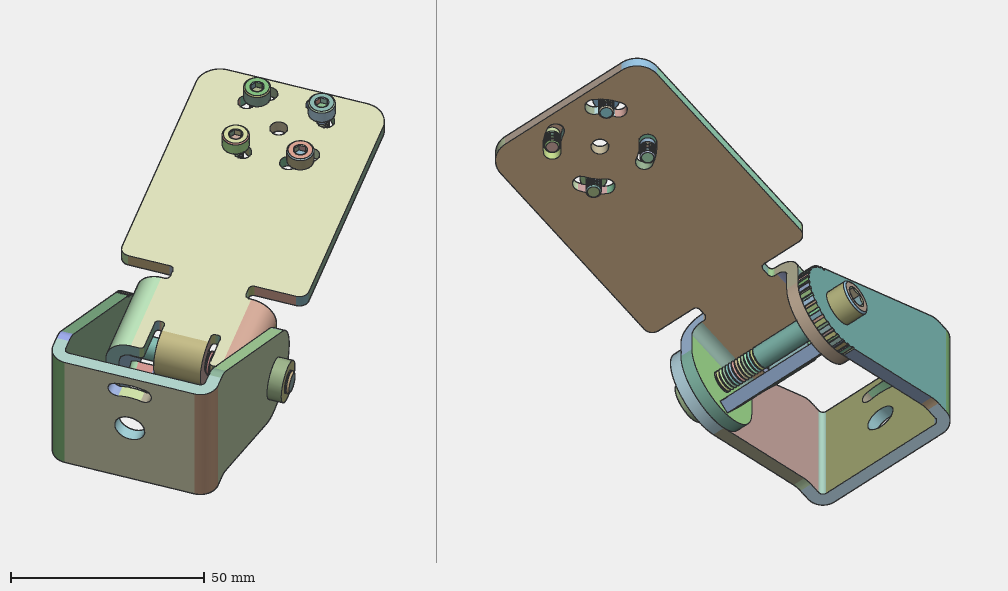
import cadquery as cq
import math


BRACKET_WIDTH = 45.0
BRACKET_THICKNESS = 3.5
BRACKET_BEND_RADIUS = 4.8
BACK_FACE_Y = -50.8
BACK_TOP_Z = 44.5
BACK_HEIGHT = 38.1
EAR_RADIUS = 12.7
EAR_CORNER_Y = -41.3
EAR_CORNER_RADIUS = 6.5
BACK_HOLE_DIAMETER = 8.2
BACK_SLOT_RADIUS = 14.0
SLOT_WIDTH = 4.6
SLOT_HALF_ANGLE = 15
MARK_STEP = 10
MARK_FIRST = -120
MARK_COUNT = 19
MARK_WIDTH = 0.8
MARK_DEPTH = 0.4

PLATE_THICKNESS = 3.6
PLATE_TOP_Z = 13.6
PLATE_WIDTH = 51.0
PLATE_FAR_Y = 87.7
PLATE_NEAR_Y = 17.3
PLATE_FAR_RADIUS = 6.5
PLATE_NEAR_RADIUS = 2.6
NECK_WIDTH = 20.6
NECK_CORNER_RADIUS = 1.2
PLATE_BEND_RADIUS = 6.8
CHANNEL_HALF_LENGTH = 12.7
HOLE_CIRCLE_Y = 72.2
HOLE_CIRCLE_RADIUS = 12.5
CENTRE_HOLE_DIAMETER = 4.6

TONGUE_WIDTH = 12.7
TONGUE_BEND_START_Y = -5.1
TONGUE_BEND_ANGLE = 120
TONGUE_LENGTH = 17.3
TONGUE_SHOULDER = 8.0
TONGUE_CORNER_RADIUS = 2.4
RELIEF_WIDTH = 17.9
RELIEF_END_Y = -2.1
RELIEF_RADIUS = 1.0

BOLT_DIAMETER = 6.2
BOLT_LENGTH = 50.0
BOLT_THREAD_LENGTH = 24.0
BOLT_PITCH = 1.0
BOLT_HEAD_DIAMETER = 10.0
BOLT_HEAD_HEIGHT = 6.0
BOLT_SOCKET = 5.0
NUT_DIAMETER = 11.4
NUT_LENGTH = 3.9

SCREW_DIAMETER = 4.0
SCREW_LENGTH = 6.2
SCREW_THREAD_LENGTH = 4.2
SCREW_PITCH = 0.7
SCREW_HEAD_DIAMETER = 7.0
SCREW_HEAD_HEIGHT = 3.9
SCREW_SOCKET = 3.0

THREAD_DEPTH_RATIO = 0.6
GROOVE_WIDTH_RATIO = 0.9
HEAD_CHAMFER_RATIO = 0.05
LEAD_IN_ANGLE = 30
LEAD_IN_RATIO = 1.05
SOCKET_DEPTH_RATIO = 0.5

HEXAGON_SIDES = 6
EDGE_MARGIN = 0.1

EAR_OUTER_X = BRACKET_WIDTH / 2
EAR_INNER_X = EAR_OUTER_X - BRACKET_THICKNESS
FLANGE_INNER_X = EAR_INNER_X - PLATE_THICKNESS
BACK_BOTTOM_Z = BACK_TOP_Z - BACK_HEIGHT
BACK_HOLE_Z = BACK_TOP_Z - BACK_HEIGHT / 2
PLATE_BOTTOM_Z = PLATE_TOP_Z - PLATE_THICKNESS
SCREW_ANGLES = [45, 135, 225, 315]


def polar(radius, degrees):
    angle = math.radians(degrees)
    return (radius * math.cos(angle), radius * math.sin(angle))


def arc_slot(workplane, radius, middle, depth):
    """Solid of an arc slot about the workplane origin, centred on the angle `middle`."""
    start = middle - SLOT_HALF_ANGLE
    end = middle + SLOT_HALF_ANGLE
    inner = radius - SLOT_WIDTH / 2
    outer = radius + SLOT_WIDTH / 2
    tip_radius = math.hypot(radius, SLOT_WIDTH / 2)
    tip_angle = math.degrees(math.atan(SLOT_WIDTH / 2 / radius))
    return (
        workplane.moveTo(*polar(inner, start))
        .threePointArc(polar(inner, middle), polar(inner, end))
        .threePointArc(polar(tip_radius, end + tip_angle), polar(outer, end))
        .threePointArc(polar(outer, middle), polar(outer, start))
        .threePointArc(polar(tip_radius, start - tip_angle), polar(inner, start))
        .close()
        .extrude(depth)
    )


def pivot_hole():
    """Cylinder the size of the bolt shank, through the whole width."""
    return cq.Workplane("YZ").circle(BOLT_DIAMETER / 2).extrude(BRACKET_WIDTH / 2, both=True)


def tangent_point(corner_y, corner_z, side):
    """Point where a line from the corner touches the ear circle, on its upper (+1) or lower (-1) side."""
    distance = math.hypot(corner_y, corner_z)
    direction = math.degrees(math.atan2(corner_z, corner_y))
    return polar(EAR_RADIUS, direction - side * math.degrees(math.acos(EAR_RADIUS / distance)))


def upright_corners(body, width, near_y, far_y):
    """Vertical plate edges on or inside a rectangle centred on X = 0."""
    box = cq.selectors.BoxSelector(
        (-width / 2 - EDGE_MARGIN, near_y - EDGE_MARGIN, PLATE_BOTTOM_Z),
        (width / 2 + EDGE_MARGIN, far_y + EDGE_MARGIN, PLATE_TOP_Z),
    )
    return body.edges("|Z").edges(box)



def ear_profile():
    """Side outline of the bracket, extruded through its whole width."""
    top_tangent = tangent_point(EAR_CORNER_Y, BACK_TOP_Z, 1)
    bottom_tangent = tangent_point(EAR_CORNER_Y, BACK_BOTTOM_Z, -1)
    profile = (
        cq.Workplane("YZ")
        .moveTo(BACK_FACE_Y, BACK_BOTTOM_Z)
        .lineTo(BACK_FACE_Y, BACK_TOP_Z)
        .lineTo(EAR_CORNER_Y, BACK_TOP_Z)
        .lineTo(*top_tangent)
        .threePointArc((EAR_RADIUS, 0), bottom_tangent)
        .lineTo(EAR_CORNER_Y, BACK_BOTTOM_Z)
        .close()
        .extrude(BRACKET_WIDTH / 2, both=True)
    )
    corners = cq.selectors.BoxSelector(
        (-BRACKET_WIDTH, EAR_CORNER_Y - EDGE_MARGIN, BACK_BOTTOM_Z - EDGE_MARGIN),
        (BRACKET_WIDTH, EAR_CORNER_Y + EDGE_MARGIN, BACK_TOP_Z + EDGE_MARGIN),
    )
    return profile.edges("|X").edges(corners).fillet(EAR_CORNER_RADIUS)


def bent_sheet():
    """U-shaped sheet seen from above, taller than the bracket."""
    length = EAR_RADIUS - BACK_FACE_Y
    height = BACK_TOP_Z + EAR_RADIUS
    base = cq.Workplane("XY", origin=(0, BACK_FACE_Y, -EAR_RADIUS))
    outside = (
        base.center(0, length / 2)
        .rect(BRACKET_WIDTH, length)
        .extrude(height)
        .edges("|Z and <Y")
        .fillet(BRACKET_BEND_RADIUS)
    )
    inside = (
        base.center(0, BRACKET_THICKNESS + length / 2)
        .rect(2 * EAR_INNER_X, length)
        .extrude(height)
        .edges("|Z and <Y")
        .fillet(BRACKET_BEND_RADIUS - BRACKET_THICKNESS)
    )
    return outside.cut(inside)


def graduation_notch(degrees):
    """Cutter for one notch across the rounded edge of the -X ear."""
    return (
        cq.Workplane("XY")
        .box(BRACKET_THICKNESS, 2 * MARK_DEPTH, MARK_WIDTH)
        .translate((-EAR_OUTER_X + BRACKET_THICKNESS / 2, EAR_RADIUS, 0))
        .rotate((0, 0, 0), (1, 0, 0), degrees)
    )


def make_bracket():
    bracket = bent_sheet().intersect(ear_profile()).cut(pivot_hole())
    back = cq.Workplane("XZ", origin=(0, BACK_FACE_Y + BRACKET_THICKNESS, BACK_HOLE_Z))
    bracket = bracket.cut(back.circle(BACK_HOLE_DIAMETER / 2).extrude(BRACKET_THICKNESS))
    bracket = bracket.cut(arc_slot(back, BACK_SLOT_RADIUS, 90, BRACKET_THICKNESS))
    for index in range(MARK_COUNT):
        bracket = bracket.cut(graduation_notch(MARK_FIRST + index * MARK_STEP))
    return bracket



def flat_plate():
    """Wide mounting plate with its neck."""
    plate_length = PLATE_FAR_Y - PLATE_NEAR_Y
    neck_length = PLATE_NEAR_Y - CHANNEL_HALF_LENGTH
    base = cq.Workplane("XY", origin=(0, 0, PLATE_BOTTOM_Z))
    plate = (
        base.center(0, PLATE_NEAR_Y + plate_length / 2)
        .rect(PLATE_WIDTH, plate_length)
        .extrude(PLATE_THICKNESS)
        .edges("|Z and >Y")
        .fillet(PLATE_FAR_RADIUS)
        .edges("|Z and <Y")
        .fillet(PLATE_NEAR_RADIUS)
    )
    neck = (
        base.center(0, CHANNEL_HALF_LENGTH + neck_length / 2)
        .rect(NECK_WIDTH, neck_length)
        .extrude(PLATE_THICKNESS)
    )
    return plate.union(neck)


def flanged_channel():
    """Inverted U with rounded flange ends around the pivot."""
    depth = PLATE_TOP_Z + CHANNEL_HALF_LENGTH
    base = cq.Workplane("XZ", origin=(0, CHANNEL_HALF_LENGTH, 0))
    outside = (
        base.center(0, PLATE_TOP_Z - depth / 2)
        .rect(2 * EAR_INNER_X, depth)
        .extrude(2 * CHANNEL_HALF_LENGTH)
        .edges("|Y and >Z")
        .fillet(PLATE_BEND_RADIUS)
    )
    inside = (
        base.center(0, PLATE_BOTTOM_Z - depth / 2)
        .rect(2 * FLANGE_INNER_X, depth)
        .extrude(2 * CHANNEL_HALF_LENGTH)
        .edges("|Y and >Z")
        .fillet(PLATE_BEND_RADIUS - PLATE_THICKNESS)
    )
    side_outline = (
        cq.Workplane("YZ")
        .moveTo(-CHANNEL_HALF_LENGTH, PLATE_TOP_Z)
        .lineTo(-CHANNEL_HALF_LENGTH, 0)
        .threePointArc((0, -CHANNEL_HALF_LENGTH), (CHANNEL_HALF_LENGTH, 0))
        .lineTo(CHANNEL_HALF_LENGTH, PLATE_TOP_Z)
        .close()
        .extrude(EAR_INNER_X, both=True)
    )
    return outside.cut(inside).intersect(side_outline).cut(pivot_hole())


def tongue_relief():
    """Cutter for the notch on each side of the tongue and the space ahead of it."""
    notch_width = (RELIEF_WIDTH - TONGUE_WIDTH) / 2
    notch_x = (TONGUE_WIDTH + notch_width) / 2
    notch_length = CHANNEL_HALF_LENGTH + RELIEF_END_Y
    mouth_length = CHANNEL_HALF_LENGTH + TONGUE_BEND_START_Y
    base = cq.Workplane("XY", origin=(0, -CHANNEL_HALF_LENGTH, PLATE_BOTTOM_Z))
    notches = (
        base.pushPoints([(-notch_x, notch_length / 2), (notch_x, notch_length / 2)])
        .rect(notch_width, notch_length)
        .extrude(PLATE_THICKNESS)
        .edges("|Z and >Y")
        .fillet(RELIEF_RADIUS)
    )
    mouth = base.center(0, mouth_length / 2).rect(RELIEF_WIDTH, mouth_length).extrude(PLATE_THICKNESS)
    return notches.union(mouth)


def tongue_bend():
    """Bend of the tongue, starting level with the plate."""
    centre_z = PLATE_TOP_Z - PLATE_BEND_RADIUS

    def on_bend(radius, turned):
        y, z = polar(radius, 90 + turned)
        return (TONGUE_BEND_START_Y + y, centre_z + z)

    inner = PLATE_BEND_RADIUS - PLATE_THICKNESS
    return (
        cq.Workplane("YZ")
        .moveTo(*on_bend(PLATE_BEND_RADIUS, 0))
        .threePointArc(
            on_bend(PLATE_BEND_RADIUS, TONGUE_BEND_ANGLE / 2),
            on_bend(PLATE_BEND_RADIUS, TONGUE_BEND_ANGLE),
        )
        .lineTo(*on_bend(inner, TONGUE_BEND_ANGLE))
        .threePointArc(on_bend(inner, TONGUE_BEND_ANGLE / 2), on_bend(inner, 0))
        .close()
        .extrude(TONGUE_WIDTH / 2, both=True)
    )


def tongue_leaf():
    """Straight end of the tongue, which widens to fill the gap between the flanges."""
    turned = math.radians(TONGUE_BEND_ANGLE)
    normal = (0, -math.sin(turned), math.cos(turned))
    origin = (
        0,
        TONGUE_BEND_START_Y + PLATE_BEND_RADIUS * normal[1],
        PLATE_TOP_Z - PLATE_BEND_RADIUS + PLATE_BEND_RADIUS * normal[2],
    )
    half = TONGUE_WIDTH / 2
    radius = TONGUE_CORNER_RADIUS
    arc_middle = radius * (1 - math.sqrt(0.5))
    shoulder = -TONGUE_SHOULDER
    outer_x = FLANGE_INNER_X
    half_leaf = (
        cq.Workplane(cq.Plane(origin=origin, xDir=(1, 0, 0), normal=normal))
        .lineTo(half, 0)
        .lineTo(half, shoulder + radius)
        .threePointArc((half + arc_middle, shoulder + arc_middle), (half + radius, shoulder))
        .lineTo(outer_x - radius, shoulder)
        .threePointArc((outer_x - arc_middle, shoulder - arc_middle), (outer_x, shoulder - radius))
        .lineTo(outer_x, -TONGUE_LENGTH)
        .lineTo(0, -TONGUE_LENGTH)
        .close()
        .extrude(-PLATE_THICKNESS)
    )
    return half_leaf.union(half_leaf.mirror("YZ"))


def make_plate():
    plate = flat_plate().union(flanged_channel())
    neck_corners = upright_corners(plate, NECK_WIDTH, CHANNEL_HALF_LENGTH, PLATE_NEAR_Y)
    plate = neck_corners.fillet(NECK_CORNER_RADIUS)
    plate = plate.cut(tongue_relief())
    mouth_corners = upright_corners(plate, RELIEF_WIDTH, -CHANNEL_HALF_LENGTH, -CHANNEL_HALF_LENGTH)
    plate = mouth_corners.fillet(RELIEF_RADIUS)
    plate = plate.union(tongue_bend()).union(tongue_leaf())
    pattern = cq.Workplane("XY", origin=(0, HOLE_CIRCLE_Y, PLATE_BOTTOM_Z))
    plate = plate.cut(pattern.circle(CENTRE_HOLE_DIAMETER / 2).extrude(PLATE_THICKNESS))
    for angle in SCREW_ANGLES:
        plate = plate.cut(arc_slot(pattern, HOLE_CIRCLE_RADIUS, angle, PLATE_THICKNESS))
    return plate



def socket_screw(diameter, length, thread_length, pitch, head_diameter, head_height, socket):
    """Cap screw along Z: head above Z = 0, shank below, with thread grooves as rings."""
    radius = diameter / 2
    thread_depth = THREAD_DEPTH_RATIO * pitch
    shank = cq.Workplane("XY").circle(radius).extrude(-length).faces("<Z").chamfer(thread_depth)
    groove_count = int(thread_length / pitch)
    for index in range(groove_count):
        bottom = -length + thread_depth + index * pitch
        groove = (
            cq.Workplane("XZ")
            .moveTo(radius, bottom)
            .lineTo(radius - thread_depth, bottom + GROOVE_WIDTH_RATIO * pitch / 2)
            .lineTo(radius, bottom + GROOVE_WIDTH_RATIO * pitch)
            .close()
            .revolve(360, (0, 0, 0), (0, 1, 0))
        )
        shank = shank.cut(groove)
    head = (
        cq.Workplane("XY")
        .circle(head_diameter / 2)
        .extrude(head_height)
        .faces(">Z")
        .chamfer(HEAD_CHAMFER_RATIO * head_diameter)
    )
    corner_diameter = socket / math.cos(math.pi / HEXAGON_SIDES)
    recess = (
        cq.Workplane("XY", origin=(0, 0, head_height))
        .polygon(HEXAGON_SIDES, corner_diameter)
        .extrude(-SOCKET_DEPTH_RATIO * head_height)
    )
    lead_in_radius = LEAD_IN_RATIO * corner_diameter / 2
    lead_in_depth = lead_in_radius * math.tan(math.radians(LEAD_IN_ANGLE))
    lead_in_tip = cq.Vector(0, 0, head_height - lead_in_depth)
    lead_in = cq.Workplane(cq.Solid.makeCone(0, lead_in_radius, lead_in_depth, pnt=lead_in_tip))
    return head.union(shank).cut(recess).cut(lead_in)


def make_bolt():
    bolt = socket_screw(
        BOLT_DIAMETER, BOLT_LENGTH, BOLT_THREAD_LENGTH, BOLT_PITCH,
        BOLT_HEAD_DIAMETER, BOLT_HEAD_HEIGHT, BOLT_SOCKET,
    )
    bolt = bolt.rotate((0, 0, 0), (0, 0, 1), 90)
    bolt = bolt.rotate((0, 0, 0), (0, 1, 0), -90)
    return bolt.translate((-EAR_OUTER_X, 0, 0))


def make_nut():
    return (
        cq.Workplane("YZ", origin=(EAR_OUTER_X, 0, 0))
        .circle(NUT_DIAMETER / 2)
        .circle(BOLT_DIAMETER / 2)
        .extrude(NUT_LENGTH)
    )


def make_plate_screw(angle):
    x, y = polar(HOLE_CIRCLE_RADIUS, angle)
    screw = socket_screw(
        SCREW_DIAMETER, SCREW_LENGTH, SCREW_THREAD_LENGTH, SCREW_PITCH,
        SCREW_HEAD_DIAMETER, SCREW_HEAD_HEIGHT, SCREW_SOCKET,
    )
    return screw.translate((x, HOLE_CIRCLE_Y + y, PLATE_TOP_Z))


bracket = make_bracket()
plate = make_plate()
bolt = make_bolt()
nut = make_nut()
screws = [make_plate_screw(angle).val() for angle in SCREW_ANGLES]
result = cq.Compound.makeCompound([bracket.val(), plate.val(), bolt.val(), nut.val(), *screws])